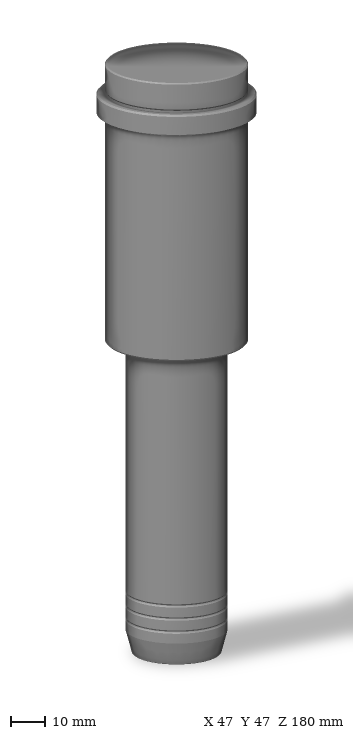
import cadquery as cq
import math

total_length = 180.0
collar_top = 9.0
collar_bottom = 15.0
head_length = 85.0
nose_length = 7.0
nose_angle = 15.0

head_diameter = 42.0
collar_diameter = 47.0
shaft_diameter = 30.0

collar_chamfer = 0.5
head_chamfer = 0.5
top_chamfer = 0.4
nose_end_chamfer = 0.2

shaft_relief_width = 1.0
shaft_relief_depth = 0.5

groove_width = 1.0
groove_depth = 0.45
oil_groove_count = 3
oil_groove_pitch = 4.0
first_oil_groove = 161.5


def height(distance_from_top):
    """Z of a place given by its distance below the top face."""
    return total_length - distance_from_top


def cylinder(diameter, top, bottom):
    """Solid cylinder on the Z axis between two distances from the top."""
    base = cq.Workplane("XY").workplane(offset=height(bottom))
    return base.circle(diameter / 2).extrude(bottom - top)


def vee_groove(diameter, centre):
    """Ring of V section that cuts a groove into a cylinder of the given diameter."""
    radius = diameter / 2
    middle = height(centre)
    half_width = groove_width / 2
    section = cq.Workplane("XZ").polyline(
        [
            (radius, middle - half_width),
            (radius, middle + half_width),
            (radius - groove_depth, middle),
        ]
    )
    return section.close().revolve(360, (0, 0, 0), (0, 1, 0))


def make_shaft_relief():
    """Square ring that undercuts the shaft just below the head."""
    bottom = head_length + shaft_relief_width
    outer = cylinder(shaft_diameter, head_length, bottom)
    return outer.cut(cylinder(shaft_diameter - 2 * shaft_relief_depth, head_length, bottom))


def make_head():
    head = cylinder(head_diameter, 0, head_length)
    head = head.faces("<Z").edges().chamfer(head_chamfer)
    return head.faces(">Z").edges().chamfer(top_chamfer)


def make_collar():
    collar = cylinder(collar_diameter, collar_top, collar_bottom)
    return collar.faces(">Z").edges().chamfer(collar_chamfer)


def make_shaft():
    return cylinder(shaft_diameter, head_length, total_length - nose_length)


def make_nose():
    """Conical lead-in that narrows from the shaft to the end face."""
    shaft_radius = shaft_diameter / 2
    end_radius = shaft_radius - nose_length * math.tan(math.radians(nose_angle))
    outline = [(0, 0), (end_radius, 0), (shaft_radius, nose_length), (0, nose_length)]
    nose = cq.Workplane("XZ").polyline(outline).close().revolve(360, (0, 0, 0), (0, 1, 0))
    return nose.faces("<Z").edges().chamfer(nose_end_chamfer)


result = make_head().union(make_collar()).union(make_shaft()).union(make_nose())

for relief_centre in (collar_top - groove_width / 2, collar_bottom + groove_width / 2):
    result = result.cut(vee_groove(head_diameter, relief_centre))

result = result.cut(make_shaft_relief())

for index in range(oil_groove_count):
    result = result.cut(vee_groove(shaft_diameter, first_oil_groove + index * oil_groove_pitch))